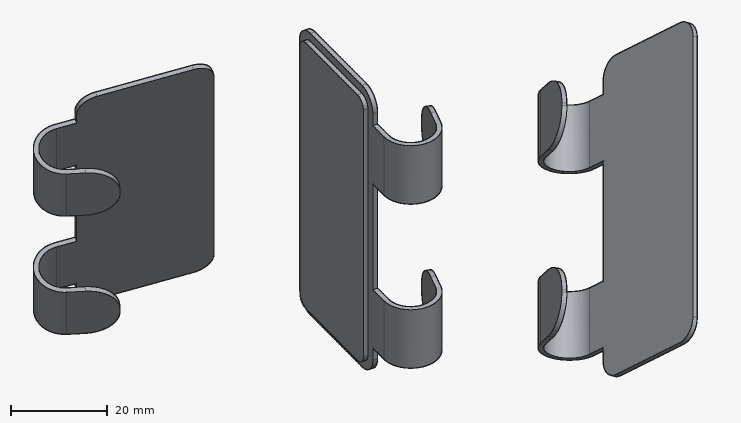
import cadquery as cq
import math

plate_height = 72.0
plate_width = 30.0
plate_corner_radius = 4.5
sheet_thickness = 1.15

pad_thickness = 1.1
pad_border = 2.0
pad_height = plate_height - 2 * pad_border
pad_width = plate_width - 2 * pad_border
pad_corner_radius = plate_corner_radius - pad_border

hook_width = 15.0
hook_spacing = 42.0
hook_straight_length = 4.5
bend_outer_radius = 6.5
bend_inner_radius = bend_outer_radius - sheet_thickness
lip_angle = math.radians(15)
lip_length = 11.1
lip_corner_radius = 7.2

plate_edge_y = -plate_width / 2
bend_center_x = bend_outer_radius
bend_center_y = plate_edge_y - hook_straight_length


def rounded_slab(width, height, thickness, corner_radius, start_x):
    """Upright slab with rounded corners whose -X face is at start_x."""
    return (
        cq.Workplane("YZ", origin=(start_x, 0, 0))
        .rect(width, height)
        .extrude(thickness)
        .edges("|X")
        .fillet(corner_radius)
    )


def bend_point(radius, angle):
    """Point on the bend at the given angle from +X, turning toward +Y."""
    return (
        bend_center_x + radius * math.cos(angle),
        bend_center_y + radius * math.sin(angle),
    )


def lip_point(radius):
    """Tip of the lip, reached along the tangent from the end of the bend."""
    x, y = bend_point(radius, -lip_angle)
    return (x + lip_length * math.sin(lip_angle), y + lip_length * math.cos(lip_angle))


def make_hook(center_z):
    """Bent strip with a rounded lip, centred on center_z."""
    bend_middle = -(math.pi + lip_angle) / 2
    hook = (
        cq.Workplane("XY", origin=(0, 0, center_z - hook_width / 2))
        .moveTo(0, plate_edge_y)
        .lineTo(0, bend_center_y)
        .threePointArc(
            bend_point(bend_outer_radius, bend_middle),
            bend_point(bend_outer_radius, -lip_angle),
        )
        .lineTo(*lip_point(bend_outer_radius))
        .lineTo(*lip_point(bend_inner_radius))
        .lineTo(*bend_point(bend_inner_radius, -lip_angle))
        .threePointArc(
            bend_point(bend_inner_radius, bend_middle),
            (sheet_thickness, bend_center_y),
        )
        .lineTo(sheet_thickness, plate_edge_y)
        .close()
        .extrude(hook_width)
    )
    across_sheet = cq.Vector(math.cos(lip_angle), -math.sin(lip_angle), 0)
    tip_edges = cq.selectors.ParallelDirSelector(across_sheet)
    return hook.edges(tip_edges).fillet(lip_corner_radius)


def make_holder():
    """Plate and hooks, one bent piece of sheet."""
    holder = rounded_slab(plate_width, plate_height, sheet_thickness, plate_corner_radius, 0)
    for side in (-1, 1):
        holder = holder.union(make_hook(side * hook_spacing / 2))
    return holder


def make_pad():
    """Flat pad that rests on the -X face of the plate."""
    return rounded_slab(pad_width, pad_height, pad_thickness, pad_corner_radius, -pad_thickness)


holder = make_holder()
pad = make_pad()

result = cq.Compound.makeCompound([holder.val(), pad.val()])